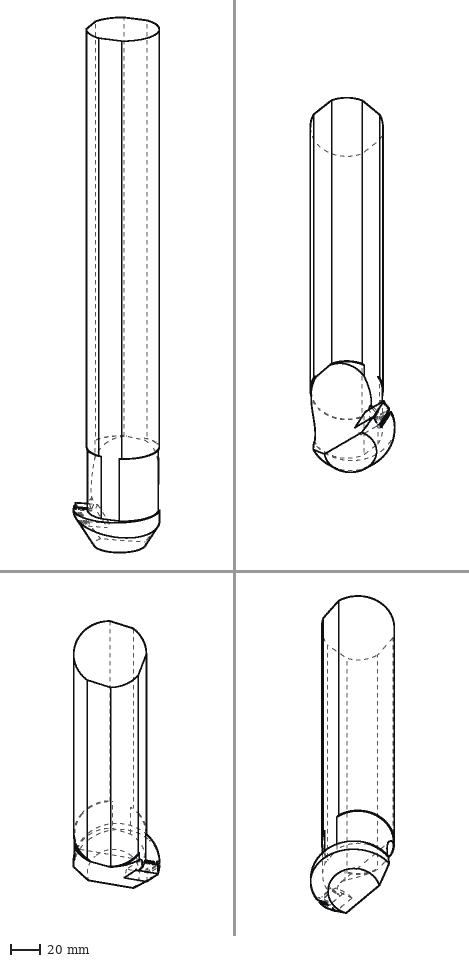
import cadquery as cq
import math

total_length = 375.0
total_width = 60.0

shank_radius = 25.0
neck_step = 0.55
neck_radius = shank_radius - neck_step
flat_distance = 23.5
neck_top = 70.0

head_diameter = 59.5
head_radius = head_diameter / 2
head_center_x = shank_radius - head_radius
head_height = 24.8
cone_center = (-1.5, -2.2)
cone_bottom_radius = 18.0
cone_slope = 0.61

rake_origin = cq.Vector(0, 6.8, 0)
rake_slope_x = 0.15
rake_slope_z = -0.1
relief_tangent_z = 31.0
relief_arc_radius = 39.5
relief_end_y = 30.0
cutter_reach = 75.0
rake_plane = cq.Plane(
    origin=rake_origin,
    xDir=cq.Vector(1, rake_slope_x, 0),
    normal=cq.Vector(rake_slope_x, -1, rake_slope_z),
)

tip_x = shank_radius - total_width
tip_v = 26.0
tip_u = (tip_x - tip_v * rake_plane.yDir.x) / rake_plane.xDir.x
insert_side = 15.8
insert_thickness = 7.0
flank_relief = math.radians(12)
flank_run = 8.0
flank_drop = math.sqrt(insert_side**2 - flank_run**2)

notch_height = 4.5
notch_depth = 9.0
notch_inset = 1.3
notch_reach = 7.5
strip_width = 2.5
strip_inset = 0.95


def flatted_bar(radius, bottom, top):
    """Round bar with flats on -X, -Y and +Y."""
    height = top - bottom
    base = cq.Workplane("XY").workplane(offset=bottom)
    bar = base.circle(radius).extrude(height)
    limits = base.center(shank_radius - flat_distance, 0)
    return bar.intersect(limits.rect(2 * shank_radius, 2 * flat_distance).extrude(height))


def conical_head():
    """Eccentric disc whose lower rim is trimmed by an upright cone."""
    disc = cq.Workplane("XY").center(head_center_x, 0).circle(head_radius).extrude(head_height)
    top_radius = cone_bottom_radius + cone_slope * head_height
    cone = cq.Solid.makeCone(
        cone_bottom_radius, top_radius, head_height, pnt=cq.Vector(*cone_center, 0)
    )
    return disc.intersect(cq.Workplane(obj=cone))


def rake_cutter():
    """Material in front of the rake face, ending in a tangent runout arc."""
    tilt = math.atan(-rake_slope_z)
    turn = math.atan(rake_slope_x)
    stretch = math.cos(turn)
    start_y = rake_origin.y * stretch
    tangent_y = start_y + rake_slope_z * stretch * relief_tangent_z
    center_y = tangent_y + relief_arc_radius * math.cos(tilt)
    center_z = relief_tangent_z + relief_arc_radius * math.sin(tilt)
    end_angle = math.acos((center_y - relief_end_y) / relief_arc_radius)
    middle_angle = (end_angle - tilt) / 2

    def arc_point(angle):
        return (
            center_y - relief_arc_radius * math.cos(angle),
            center_z + relief_arc_radius * math.sin(angle),
        )

    profile = (
        cq.Workplane("YZ")
        .moveTo(start_y, 0)
        .lineTo(tangent_y, relief_tangent_z)
        .threePointArc(arc_point(middle_angle), arc_point(end_angle))
        .lineTo(cutter_reach, arc_point(end_angle)[1])
        .lineTo(cutter_reach, 0)
        .close()
    )
    return profile.extrude(cutter_reach, both=True).rotate((0, 0, 0), (0, 0, 1), math.degrees(turn))


def cutting_insert():
    """Rhombic plate with its top on the rake plane and a relieved cutting flank."""
    relief = insert_thickness * math.tan(flank_relief)

    def outline(workplane, shift):
        return (
            workplane.moveTo(tip_u + shift, tip_v)
            .lineTo(tip_u + shift + flank_run, tip_v - flank_drop)
            .lineTo(tip_u + flank_run + insert_side, tip_v - flank_drop)
            .lineTo(tip_u + insert_side, tip_v)
            .close()
        )

    top_outline = outline(cq.Workplane(rake_plane), 0)
    return outline(top_outline.workplane(offset=insert_thickness), relief).loft(ruled=True)


def notch_cutter():
    """Wedge cleared from the neck just above the insert."""
    return (
        cq.Workplane(rake_plane)
        .moveTo(-flat_distance, tip_v + notch_height)
        .lineTo(-flat_distance + notch_inset, head_height)
        .lineTo(-flat_distance - notch_reach, head_height)
        .lineTo(-flat_distance - notch_reach, tip_v + notch_height)
        .close()
        .extrude(notch_depth)
    )


def strip_cutter():
    """Shallow strip cleared from the head flank below the insert."""
    edge_u = tip_u + insert_thickness * math.tan(flank_relief) + strip_inset
    return (
        cq.Workplane(rake_plane)
        .workplane(offset=insert_thickness)
        .moveTo(edge_u, tip_v)
        .lineTo(edge_u + flank_run, tip_v - flank_drop)
        .lineTo(edge_u - notch_reach, tip_v - flank_drop)
        .lineTo(edge_u - notch_reach, tip_v)
        .close()
        .extrude(strip_width)
    )


insert = cutting_insert()

bar = flatted_bar(shank_radius, neck_top, total_length)
bar = bar.union(flatted_bar(neck_radius, head_height, neck_top))
bar = bar.union(conical_head())
bar = bar.cut(rake_cutter())
bar = bar.cut(notch_cutter())
bar = bar.cut(strip_cutter())
bar = bar.cut(insert)

result = cq.Compound.makeCompound([bar.solids().val(), insert.val()])